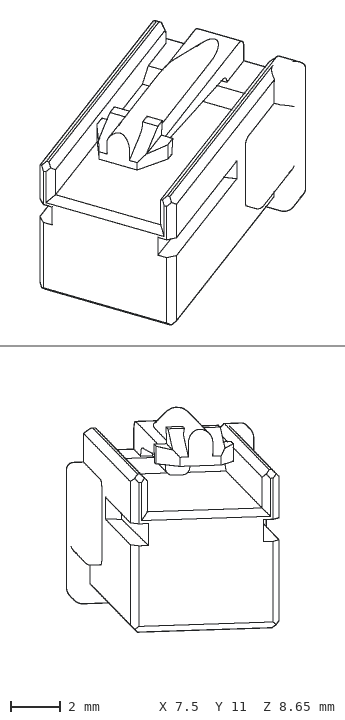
import cadquery as cq
import math


LENGTH = 11.0
BODY_WIDTH = 6.1
BODY_BOTTOM = 0.6
BODY_TOP = 7.11
RAIL_THICKNESS = 0.7
FLOOR_Z = 5.54
REAR_FLOOR_Z = 6.09
REAR_FLOOR_Y = 9.03
BODY_CHAMFER = 0.3
REAR_ROUND = 0.5

GROOVE_LENGTH = 5.98
GROOVE_TOP = 5.12
GROOVE_HEIGHT = 0.9
GROOVE_END_DEPTH = 0.64
GROOVE_MOUTH_DEPTH = 0.69
GROOVE_END_LEAN = 0.16

OUTER_WIDTH = 7.5
FLANGE_THICKNESS = 1.5
FLANGE_ROUND = 0.5
POST_INNER_X = 2.7
PAD_LENGTH = 4.2
PAD_BOTTOM = 2.13
PAD_TOP = 5.63
PAD_ROUND = 0.3

ARM_WIDTH = 1.98
ARM_TOP = 7.32
TIP_Y = 1.24
TIP_BOTTOM = 7.18
UNDERSIDE_ANGLE = 5.0
ROOT_Y = 9.39
ROOT_ROUND = 0.4

RIB_FRONT_Y = 6.49
RIB_BOTTOM = 5.83
RIB_ROUND = 0.3

RIDGE_WIDTH = 1.0
RIDGE_TOP = 8.65
RIDGE_BEND_Y = 5.98
RIDGE_BEND_RADIUS = 3.5
RIDGE_ANGLE = 20.0
RIDGE_END_Y = 10.45
NOSE_HEIGHT = 0.43
NOSE_DEPTH = 0.19

HEAD_WIDTH = 3.17
HEAD_TIP_WIDTH = 1.69
HEAD_TAPER_Y = 2.57
HEAD_REAR_TOP_Y = 3.15
HEAD_REAR_BOTTOM_Y = 2.95
WING_TOP = 7.79
PRONG_WIDTH = 2.15
PRONG_TOP = 8.46
PRONG_FLAT_Y = 2.73
RAMP_TIP_Z = 7.56


def box(x0, x1, y0, y1, z0, z1):
    """Box between two opposite corners."""
    return cq.Workplane("XY").box(x1 - x0, y1 - y0, z1 - z0, centered=False).translate((x0, y0, z0))


def side_plate(outline, width):
    """Plate with a (Y, Z) outline, centred on X = 0."""
    return cq.Workplane("YZ").polyline(outline).close().extrude(width / 2, both=True)


def underside_z(y):
    """Height of the sloping underside of the latch arm."""
    return TIP_BOTTOM - (y - TIP_Y) * math.tan(math.radians(UNDERSIDE_ANGLE))


def make_body():
    half = BODY_WIDTH / 2
    inner = half - RAIL_THICKNESS
    outline = [
        (-half, BODY_BOTTOM), (half, BODY_BOTTOM), (half, BODY_TOP), (inner, BODY_TOP),
        (inner, FLOOR_Z), (-inner, FLOOR_Z), (-inner, BODY_TOP), (-half, BODY_TOP),
    ]
    step_y = REAR_FLOOR_Y - (REAR_FLOOR_Z - FLOOR_Z)
    rear_floor = side_plate(
        [(step_y, BODY_BOTTOM), (step_y, FLOOR_Z), (REAR_FLOOR_Y, REAR_FLOOR_Z),
         (LENGTH, REAR_FLOOR_Z), (LENGTH, BODY_BOTTOM)],
        2 * inner,
    )
    channel = cq.Workplane("XZ").polyline(outline).close().extrude(-LENGTH).union(rear_floor)

    front_chamfered = channel.faces("<Y").edges().chamfer(BODY_CHAMFER)
    outside_chamfered = channel.edges("|Y and (<X or >X)").chamfer(BODY_CHAMFER)

    inside_chamfered = channel.edges("|X and >Y and >Z").fillet(REAR_ROUND)
    inner_rail_edges = cq.selectors.BoxSelector(
        (-inner - RAIL_THICKNESS / 4, BODY_CHAMFER, REAR_FLOOR_Z + BODY_CHAMFER / 2),
        (inner + RAIL_THICKNESS / 4, LENGTH + BODY_CHAMFER, BODY_TOP + BODY_CHAMFER),
    )
    inside_chamfered = inside_chamfered.edges(inner_rail_edges).chamfer(BODY_CHAMFER)
    return front_chamfered.intersect(outside_chamfered).intersect(inside_chamfered)


def make_groove():
    """Groove along the +X side, open at the mating face."""
    wall = BODY_WIDTH / 2
    outline = [
        (wall, 0), (wall - GROOVE_MOUTH_DEPTH, 0),
        (wall - GROOVE_END_DEPTH, GROOVE_LENGTH - GROOVE_END_LEAN), (wall, GROOVE_LENGTH),
    ]
    return (
        cq.Workplane("XY", origin=(0, 0, GROOVE_TOP - GROOVE_HEIGHT))
        .polyline(outline).close().extrude(GROOVE_HEIGHT)
    )


def make_flange():
    half = OUTER_WIDTH / 2
    front_y = LENGTH - FLANGE_THICKNESS
    flange = box(-half, half, front_y, LENGTH, 0, BODY_TOP)
    flange = flange.edges("(|Z and <Y) or >Z or <Z").fillet(FLANGE_ROUND)

    pad_middle = (PAD_BOTTOM + PAD_TOP) / 2
    return flange.cut(box(-half, POST_INNER_X, front_y, LENGTH, pad_middle, BODY_TOP))


def make_pads():
    half = OUTER_WIDTH / 2
    pads = box(-half, half, LENGTH - PAD_LENGTH, LENGTH, PAD_BOTTOM, PAD_TOP)
    pads = pads.edges("<Y or (|Y and (<X or >X))").fillet(PAD_ROUND)

    inner = BODY_WIDTH / 2 - RAIL_THICKNESS
    return pads.cut(box(-inner, inner, 0, LENGTH, FLOOR_Z, PAD_TOP))


def make_arm():
    arm = side_plate(
        [(HEAD_TAPER_Y, ARM_TOP), (HEAD_TAPER_Y, underside_z(HEAD_TAPER_Y)), (ROOT_Y, underside_z(ROOT_Y)),
         (ROOT_Y, REAR_FLOOR_Z), (LENGTH, REAR_FLOOR_Z), (LENGTH, ARM_TOP)],
        ARM_WIDTH,
    )
    arm = arm.edges(cq.selectors.NearestToPointSelector((0, ROOT_Y, underside_z(ROOT_Y)))).fillet(ROOT_ROUND)
    return arm.edges(">Y and >Z").fillet(REAR_ROUND)


def make_rib():
    arm_middle_z = (ARM_TOP + underside_z(RIB_FRONT_Y)) / 2
    rib = box(-RIDGE_WIDTH / 2, RIDGE_WIDTH / 2, RIB_FRONT_Y, ROOT_Y, RIB_BOTTOM, arm_middle_z)
    return rib.edges("|Y and <Z").fillet(RIB_ROUND)


def make_ridge():
    radius = RIDGE_WIDTH / 2
    axis_z = RIDGE_TOP - radius

    def bend_point(degrees):
        angle = math.radians(degrees)
        return (RIDGE_BEND_Y + RIDGE_BEND_RADIUS * math.sin(angle),
                axis_z - RIDGE_BEND_RADIUS * (1 - math.cos(angle)))

    bend_middle = bend_point(RIDGE_ANGLE / 2)
    bend_end = bend_point(RIDGE_ANGLE)
    end_z = bend_end[1] - (RIDGE_END_Y - bend_end[0]) * math.tan(math.radians(RIDGE_ANGLE))

    axis = (
        cq.Workplane("YZ").moveTo(TIP_Y, axis_z).lineTo(RIDGE_BEND_Y, axis_z)
        .threePointArc(bend_middle, bend_end).lineTo(RIDGE_END_Y, end_z)
    )
    tube = cq.Workplane("XZ", origin=(0, TIP_Y, axis_z)).circle(radius).sweep(axis)

    web = (
        cq.Workplane("YZ").moveTo(TIP_Y, axis_z).lineTo(RIDGE_BEND_Y, axis_z)
        .threePointArc(bend_middle, bend_end).lineTo(RIDGE_END_Y, end_z)
        .lineTo(ROOT_Y, underside_z(ROOT_Y)).lineTo(TIP_Y, TIP_BOTTOM).close()
        .extrude(radius, both=True)
    )

    nose_z = RIDGE_TOP - NOSE_HEIGHT
    nose_radius = (NOSE_HEIGHT**2 + NOSE_DEPTH**2) / (2 * NOSE_DEPTH)
    half_sweep = math.asin(NOSE_HEIGHT / nose_radius) / 2
    nose_middle = (
        TIP_Y + nose_radius * (1 - math.cos(half_sweep)),
        nose_z + nose_radius * math.sin(half_sweep),
    )
    nose_cut = (
        cq.Workplane("YZ").moveTo(TIP_Y, nose_z)
        .threePointArc(nose_middle, (TIP_Y + NOSE_DEPTH, RIDGE_TOP))
        .lineTo(TIP_Y, RIDGE_TOP).close().extrude(radius, both=True)
    )
    return tube.union(web).cut(nose_cut)


def make_head():
    head = side_plate(
        [(TIP_Y, TIP_BOTTOM), (TIP_Y, RAMP_TIP_Z), (PRONG_FLAT_Y, PRONG_TOP), (HEAD_REAR_TOP_Y, PRONG_TOP),
         (HEAD_REAR_BOTTOM_Y, underside_z(HEAD_REAR_BOTTOM_Y))],
        HEAD_WIDTH,
    )
    above_wing = box(PRONG_WIDTH / 2, HEAD_WIDTH / 2, TIP_Y, HEAD_REAR_TOP_Y, WING_TOP, PRONG_TOP)
    head = head.cut(above_wing).cut(above_wing.mirror("YZ"))

    half = HEAD_WIDTH / 2
    tip = HEAD_TIP_WIDTH / 2
    plan = (
        cq.Workplane("XY")
        .polyline([(-tip, TIP_Y), (tip, TIP_Y), (half, HEAD_TAPER_Y), (half, HEAD_REAR_TOP_Y),
                   (-half, HEAD_REAR_TOP_Y), (-half, HEAD_TAPER_Y)])
        .close().extrude(RIDGE_TOP)
    )
    return head.intersect(plan)


groove = make_groove()
result = make_body().union(make_flange()).union(make_pads())
result = result.cut(groove).cut(groove.mirror("YZ"))
result = result.union(make_arm()).union(make_rib()).union(make_ridge()).union(make_head())